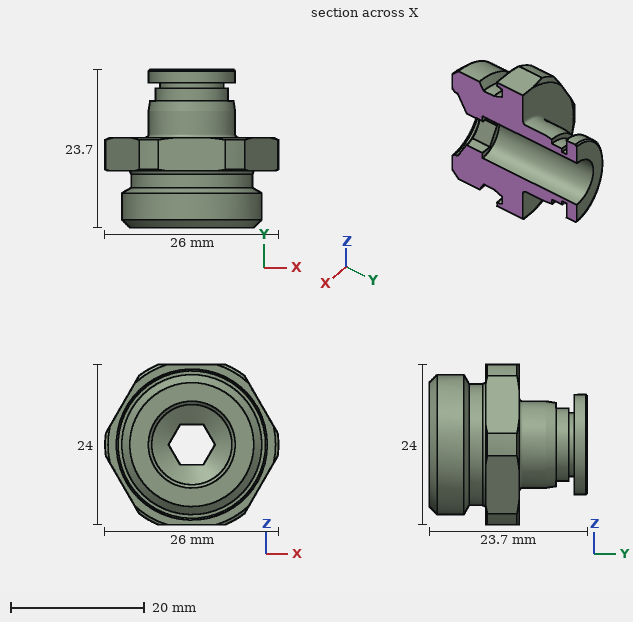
import cadquery as cq
import math


THREAD_RADIUS = 20.955 / 2
THREAD_CHAMFER = 1.2
THREAD_END = 5.2
RELIEF_RADIUS = 9.1
RELIEF_START = 6.0
RELIEF_END = 8.0
RELIEF_FLARE = math.radians(22)

HEX_ACROSS_FLATS = 24.0
HEX_CORNER_RADIUS = 13.0
HEX_START = 8.5
HEX_LENGTH = 5.0
HEX_END = HEX_START + HEX_LENGTH
FRONT_BEVEL_RADIUS = 12.54
FRONT_BEVEL_DEPTH = 0.23
BACK_BEVEL_RADIUS = 12.2
BACK_BEVEL_DEPTH = 0.35

RECESS_MOUTH_RADIUS = 11.3
RECESS_DEPTH = 1.0
RECESS_TAPER = math.radians(15)

STEM_RADIUS = 6.5
STEM_FILLET = 0.5
STEM_TAPER_START = 17.5
STEM_TIP_RADIUS = 6.27
STEM_END = 19.0
SLEEVE_RADIUS = 5.45
SLEEVE_END = 20.9
NECK_RADIUS = 4.8

RING_START = 21.7
RING_THICKNESS = 2.0
RING_WIDTH = 13.0
RING_HEIGHT = 15.0
RING_CHAMFER = 0.25
TOTAL_LENGTH = RING_START + RING_THICKNESS

BORE_MOUTH_RADIUS = 6.5
BORE_RADIUS = 6.0
BORE_CHAMFER_DEPTH = 0.5
KEY_ACROSS_FLATS = 6.0
KEY_END = 5.8
TUBE_BORE_RADIUS = 4.0
BORE_CONE_START = 1.0
BORE_CONE_SLOPE = math.radians(30)

HEX_SIDES = 6
ARC_MIDDLE = math.sqrt(0.5)


def across_corners(across_flats):
    return across_flats / math.cos(math.pi / HEX_SIDES)


def section_plane(y):
    """XZ plane at the given y, with its normal along +Y and local x along +X."""
    return cq.Workplane(cq.Plane(origin=(0, y, 0), xDir=(1, 0, 0), normal=(0, 1, 0)))


def revolve_about_axis(profile):
    """Turn a closed (radius, y) profile about the Y axis."""
    return profile.close().revolve(360, (0, 0, 0), (0, 1, 0))


def make_thread_end():
    floor = HEX_START + RECESS_DEPTH
    floor_radius = RELIEF_RADIUS + (floor - RELIEF_END) * math.tan(RELIEF_FLARE)
    profile = (
        cq.Workplane("XY")
        .moveTo(0, 0)
        .lineTo(THREAD_RADIUS - THREAD_CHAMFER, 0)
        .lineTo(THREAD_RADIUS, THREAD_CHAMFER)
        .lineTo(THREAD_RADIUS, THREAD_END)
        .lineTo(RELIEF_RADIUS, RELIEF_START)
        .lineTo(RELIEF_RADIUS, RELIEF_END)
        .lineTo(floor_radius, floor)
        .lineTo(0, floor)
    )
    return revolve_about_axis(profile)


def make_collar():
    floor = HEX_START + RECESS_DEPTH
    recess_floor_radius = RECESS_MOUTH_RADIUS - RECESS_DEPTH * math.tan(RECESS_TAPER)
    prism = section_plane(HEX_START).polygon(HEX_SIDES, across_corners(HEX_ACROSS_FLATS)).extrude(HEX_LENGTH)
    turned_limit = revolve_about_axis(
        cq.Workplane("XY")
        .moveTo(0, floor)
        .lineTo(recess_floor_radius, floor)
        .lineTo(RECESS_MOUTH_RADIUS, HEX_START)
        .lineTo(FRONT_BEVEL_RADIUS, HEX_START)
        .lineTo(HEX_CORNER_RADIUS, HEX_START + FRONT_BEVEL_DEPTH)
        .lineTo(HEX_CORNER_RADIUS, HEX_END - BACK_BEVEL_DEPTH)
        .lineTo(BACK_BEVEL_RADIUS, HEX_END)
        .lineTo(0, HEX_END)
    )
    return prism.intersect(turned_limit)


def make_stem():
    fillet_end = HEX_END + STEM_FILLET
    fillet_middle = STEM_FILLET * ARC_MIDDLE
    profile = (
        cq.Workplane("XY")
        .moveTo(0, HEX_END)
        .lineTo(STEM_RADIUS + STEM_FILLET, HEX_END)
        .threePointArc(
            (STEM_RADIUS + STEM_FILLET - fillet_middle, fillet_end - fillet_middle),
            (STEM_RADIUS, fillet_end),
        )
        .lineTo(STEM_RADIUS, STEM_TAPER_START)
        .lineTo(STEM_TIP_RADIUS, STEM_END)
        .lineTo(SLEEVE_RADIUS, STEM_END)
        .lineTo(SLEEVE_RADIUS, SLEEVE_END)
        .lineTo(NECK_RADIUS, SLEEVE_END)
        .lineTo(NECK_RADIUS, RING_START)
        .lineTo(0, RING_START)
    )
    return revolve_about_axis(profile)


def make_release_ring():
    ring = section_plane(RING_START).ellipse(RING_WIDTH / 2, RING_HEIGHT / 2).extrude(RING_THICKNESS)
    return ring.faces(">Y").chamfer(RING_CHAMFER)


def make_bore():
    """Chamfered conical mouth that narrows into a hexagonal key hole, then the tube bore open at the back."""
    cone_tip = BORE_CONE_START + BORE_RADIUS * math.tan(BORE_CONE_SLOPE)
    cone = revolve_about_axis(
        cq.Workplane("XY")
        .moveTo(0, 0)
        .lineTo(BORE_MOUTH_RADIUS, 0)
        .lineTo(BORE_RADIUS, BORE_CHAMFER_DEPTH)
        .lineTo(BORE_RADIUS, BORE_CONE_START)
        .lineTo(0, cone_tip)
    )
    key_hole = section_plane(0).polygon(HEX_SIDES, across_corners(KEY_ACROSS_FLATS)).extrude(KEY_END)
    tube_bore = section_plane(KEY_END).circle(TUBE_BORE_RADIUS).extrude(TOTAL_LENGTH - KEY_END)
    return cone.union(key_hole).union(tube_bore)


fitting = make_thread_end().union(make_collar()).union(make_stem()).union(make_release_ring())
result = fitting.cut(make_bore())